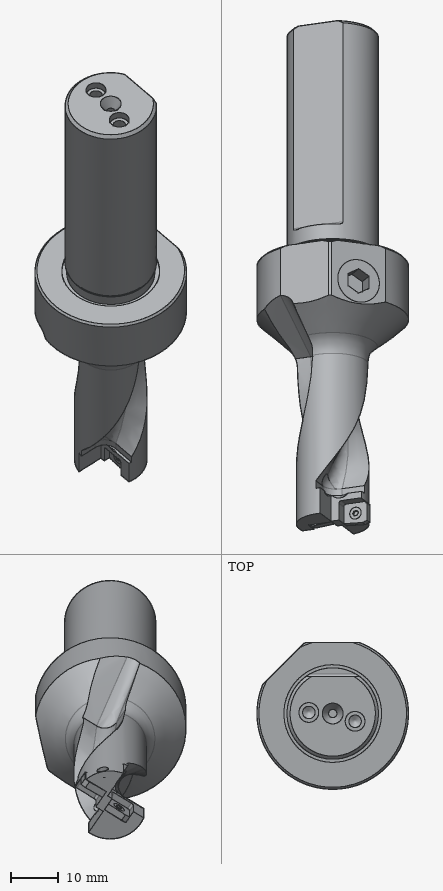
import cadquery as cq
import math

TOTAL_LENGTH = 108.8
SHANK_RADIUS = 9.6
SHANK_BOTTOM = 60.2
SHANK_CHAMFER = 0.7
SHANK_FLAT_OFFSET = 7.7
SHANK_FLAT_BOTTOM = 63.5
SHANK_FLAT_FILLET = 0.5
NECK_RADIUS = 9.2
NECK_GROOVE_RADIUS = 8.9
NECK_GROOVE_WIDTH = 0.7
NECK_RECESS_RADIUS = 10.2
NECK_RECESS_DEPTH = 0.5

COLLAR_RADIUS = 15.9
COLLAR_TOP = 57.9
COLLAR_BOTTOM = 45.6
COLLAR_CHAMFER = 0.4
BACK_FLAT_OFFSET = 14.9
PLUG_FLAT_OFFSET = 14.7
PLUG_FLAT_ANGLE = 45.0
CONE_SLOPE = 1.08
CONE_FILLET = 5.4

DRILL_RADIUS = 7.6
DRILL_BOTTOM = 0.3

FLUTE_BACK_TOP = 1.5
FLUTE_BACK_BOTTOM = -0.5
FLUTE_SIDE_TOP = 1.3
FLUTE_SIDE_BOTTOM = 0.8
FLUTE_CORNER_RADIUS = 3.0
FLUTE_REACH = 18.5
FLUTE_TOP = 37.5
FLUTE_TWIST_END = 7.6
FLUTE_TURN = 90.0
FLUTE_SECTIONS = 9
RUNOUT_HEIGHT = 13.0
RUNOUT_SLOPE = 1.5
RUNOUT_SIDE_SLOPE = 0.1
RUNOUT_TURN = 15.0

TIP_POCKET_TOP = 6.0
INNER_POCKET_SIDE = -1.5
INNER_POCKET_DEPTH = 1.4
OUTER_POCKET_SIDE = 0.4
OUTER_POCKET_DEPTH = 2.0

INSERT_WIDTH = 5.3
INSERT_TOP = 4.6
INSERT_THICKNESS = 1.5
INSERT_POINT = 4.2
INSERT_SIDE_RELIEF = 0.3
INSERT_CORNER_RADIUS = 0.5
INNER_INSERT_START = -0.4
INNER_INSERT_FACE = 0.0
OUTER_INSERT_START = 2.3
OUTER_INSERT_FACE = 0.5
SCREW_HEIGHT = 2.3
SCREW_HEAD_RADIUS = 1.3
SCREW_SHAFT_RADIUS = 0.8
SCREW_HEAD_LENGTH = 0.9
SCREW_LENGTH = 3.5
SCREW_SOCKET_WIDTH = 1.1
SCREW_SOCKET_DEPTH = 0.5

PLUG_RADIUS = 4.7
PLUG_LENGTH = 5.4
PLUG_HEIGHT = 49.5
PLUG_SOCKET_FLATS = 4.7
PLUG_SOCKET_DEPTH = 3.8

COOLANT_INLETS = [(-5.0, 0.2), (4.7, -1.6)]
INLET_RADIUS = 2.1
INLET_DEPTH = 1.6
COOLANT_RADIUS = 1.3
COOLANT_DEPTH = 6.5
COOLANT_POINT_LENGTH = 0.8
CENTRE_CONE_RADIUS = 2.2
CENTRE_PILOT_RADIUS = 0.9
CENTRE_CONE_DEPTH = 2.3
CENTRE_DEPTH = 4.4
SIDE_HOLE_RADIUS = 1.2
SIDE_HOLE_HEIGHT = 1.7
SIDE_HOLE_DEPTH = 1.4

ORIGIN = cq.Vector(0, 0, 0)
UP = cq.Vector(0, 0, 1)


def half_turn(shape):
    return shape.rotate((0, 0, 0), (0, 0, 1), 180)


def corner_block(x_start, x_end, y_start, y_end, z_start, z_end):
    """Box between two opposite corners."""
    block = cq.Workplane("XY").box(x_end - x_start, y_end - y_start, z_end - z_start, centered=False)
    return block.translate((x_start, y_start, z_start))


def hexagon_diameter(across_flats):
    return across_flats / math.cos(math.pi / 6)


def turned_blank():
    """Shank, neck, collar, cone and drill as one revolved outline."""
    cone_height = (COLLAR_RADIUS - DRILL_RADIUS) / CONE_SLOPE
    cone_bottom = COLLAR_BOTTOM - cone_height
    cone_angle = math.atan(CONE_SLOPE)
    tangent_length = CONE_FILLET * math.tan(cone_angle / 2)
    fillet_top = (
        DRILL_RADIUS + tangent_length * math.sin(cone_angle),
        cone_bottom + tangent_length * math.cos(cone_angle),
    )
    fillet_middle = (
        DRILL_RADIUS + CONE_FILLET * (1 - math.cos(cone_angle / 2)),
        cone_bottom - tangent_length + CONE_FILLET * math.sin(cone_angle / 2),
    )
    groove_bottom = SHANK_BOTTOM - NECK_GROOVE_WIDTH
    return (
        cq.Workplane("XZ")
        .moveTo(0, DRILL_BOTTOM)
        .lineTo(DRILL_RADIUS, DRILL_BOTTOM)
        .lineTo(DRILL_RADIUS, cone_bottom - tangent_length)
        .threePointArc(fillet_middle, fillet_top)
        .lineTo(COLLAR_RADIUS, COLLAR_BOTTOM)
        .lineTo(COLLAR_RADIUS, COLLAR_TOP - COLLAR_CHAMFER)
        .lineTo(COLLAR_RADIUS - COLLAR_CHAMFER, COLLAR_TOP)
        .lineTo(NECK_RECESS_RADIUS, COLLAR_TOP)
        .lineTo(NECK_RECESS_RADIUS, COLLAR_TOP - NECK_RECESS_DEPTH)
        .lineTo(NECK_RADIUS, COLLAR_TOP - NECK_RECESS_DEPTH)
        .lineTo(NECK_RADIUS, groove_bottom)
        .lineTo(NECK_GROOVE_RADIUS, groove_bottom)
        .lineTo(NECK_GROOVE_RADIUS, SHANK_BOTTOM)
        .lineTo(SHANK_RADIUS, SHANK_BOTTOM)
        .lineTo(SHANK_RADIUS, TOTAL_LENGTH - SHANK_CHAMFER)
        .lineTo(SHANK_RADIUS - SHANK_CHAMFER, TOTAL_LENGTH)
        .lineTo(0, TOTAL_LENGTH)
        .close()
        .revolve(360, (0, 0, 0), (0, 1, 0))
    )


def shank_flat():
    """Material removed for the clamping flat, with a rounded lower inside edge."""
    flat = corner_block(
        -SHANK_RADIUS, SHANK_RADIUS, SHANK_FLAT_OFFSET, 2 * SHANK_RADIUS, SHANK_FLAT_BOTTOM, TOTAL_LENGTH
    )
    return flat.edges("<Y and <Z").fillet(SHANK_FLAT_FILLET)


def collar_flat(offset, turn):
    """Material removed beyond a plane facing +Y, then turned about the axis."""
    flat = corner_block(
        -COLLAR_RADIUS, COLLAR_RADIUS, offset, 2 * COLLAR_RADIUS, FLUTE_TOP, COLLAR_TOP
    )
    return flat.rotate((0, 0, 0), (0, 0, 1), turn)


def flute_section(height, turn, back_offset, side_offset, shift_x=0.0, shift_y=0.0):
    """Rounded-corner quadrant open toward -X and -Y, turned clockwise about the axis."""
    back = -back_offset
    side = -side_offset
    far_x = side - FLUTE_REACH
    far_y = back - FLUTE_REACH
    arc_inset = FLUTE_CORNER_RADIUS * (1 - math.sqrt(0.5))
    wire = (
        cq.Workplane("XY")
        .moveTo(far_x, back)
        .lineTo(side - FLUTE_CORNER_RADIUS, back)
        .threePointArc((side - arc_inset, back - arc_inset), (side, back - FLUTE_CORNER_RADIUS))
        .lineTo(side, far_y)
        .lineTo(far_x, far_y)
        .close()
        .val()
    )
    return wire.rotate(ORIGIN, UP, -turn).translate(cq.Vector(shift_x, shift_y, height))


def flute_runout():
    """Upper end of a flute, slanting outward through the cone into the collar."""
    start = flute_section(FLUTE_TOP, 0, FLUTE_BACK_TOP, FLUTE_SIDE_TOP)
    end = flute_section(
        FLUTE_TOP + RUNOUT_HEIGHT,
        RUNOUT_TURN,
        FLUTE_BACK_TOP,
        FLUTE_SIDE_TOP,
        -RUNOUT_SIDE_SLOPE * RUNOUT_HEIGHT,
        -RUNOUT_SLOPE * RUNOUT_HEIGHT,
    )
    return cq.Workplane(cq.Solid.makeLoft([start, end], True))


def twisted_flute():
    """Main length of a flute, twisting faster and opening wider toward the tip."""
    sections = []
    for index in range(FLUTE_SECTIONS):
        fraction = index / (FLUTE_SECTIONS - 1)
        back_offset = FLUTE_BACK_TOP + fraction * (FLUTE_BACK_BOTTOM - FLUTE_BACK_TOP)
        side_offset = FLUTE_SIDE_TOP + fraction * (FLUTE_SIDE_BOTTOM - FLUTE_SIDE_TOP)
        height = FLUTE_TOP - fraction * (FLUTE_TOP - FLUTE_TWIST_END)
        sections.append(flute_section(height, FLUTE_TURN * fraction**2, back_offset, side_offset))
    return cq.Workplane(cq.Solid.makeLoft(sections))


def flute_lower_end():
    """Straight lower end of a flute, closed by a ball-shaped floor."""
    wire = flute_section(TIP_POCKET_TOP, FLUTE_TURN, FLUTE_BACK_BOTTOM, FLUTE_SIDE_BOTTOM)
    length = FLUTE_TWIST_END - TIP_POCKET_TOP
    straight = cq.Workplane(cq.Solid.extrudeLinear(wire, [], cq.Vector(0, 0, length)))
    ball_x = FLUTE_BACK_BOTTOM + FLUTE_CORNER_RADIUS
    ball_y = FLUTE_SIDE_BOTTOM + FLUTE_CORNER_RADIUS
    ball = cq.Workplane("XY").sphere(FLUTE_CORNER_RADIUS)
    return straight, ball.translate((-ball_x, ball_y, FLUTE_TWIST_END))


def tip_pocket(side, depth):
    """Open chip space in front of an insert that faces -Y."""
    reach = 2 * DRILL_RADIUS
    return corner_block(side, reach, -reach, -depth, 0, TIP_POCKET_TOP)


def insert_blank(start, front, back):
    """Insert outline with a shallow point, between the planes y = front and y = back."""
    end = start + INSERT_WIDTH
    outline = (
        cq.Workplane("XZ", origin=(0, back, 0))
        .moveTo(start, INSERT_SIDE_RELIEF)
        .lineTo(start + INSERT_POINT, 0)
        .lineTo(end, INSERT_SIDE_RELIEF)
        .lineTo(end, INSERT_TOP)
        .lineTo(start, INSERT_TOP)
        .close()
    )
    return outline.extrude(back - front).edges("|Y and >Z").fillet(INSERT_CORNER_RADIUS)


def screw_blank(start, face):
    """Countersunk screw without its socket, pointing toward +Y."""
    profile = (
        cq.Workplane("XY")
        .lineTo(SCREW_HEAD_RADIUS, 0)
        .lineTo(SCREW_SHAFT_RADIUS, SCREW_HEAD_LENGTH)
        .lineTo(SCREW_SHAFT_RADIUS, SCREW_LENGTH)
        .lineTo(0, SCREW_LENGTH)
        .close()
        .revolve(360, (0, 0, 0), (0, 1, 0))
    )
    return profile.translate((start + INSERT_WIDTH / 2, face, SCREW_HEIGHT))


def make_insert(start, face):
    return insert_blank(start, face, face + INSERT_THICKNESS).cut(screw_blank(start, face))


def make_screw(start, face):
    socket = (
        cq.Workplane("XZ", origin=(start + INSERT_WIDTH / 2, face, SCREW_HEIGHT))
        .polygon(6, hexagon_diameter(SCREW_SOCKET_WIDTH))
        .extrude(-SCREW_SOCKET_DEPTH)
    )
    return screw_blank(start, face).cut(socket)


def insert_seat(start, face, pocket_depth):
    """Insert pocket up through the chip pocket wall, with the threaded hole for the screw."""
    pocket = insert_blank(start, -pocket_depth, face + INSERT_THICKNESS)
    return pocket.union(screw_blank(start, face))


def plug_plane():
    """Plane of the angled collar flat, centred on the plug and facing outward."""
    angle = math.radians(PLUG_FLAT_ANGLE)
    normal = cq.Vector(-math.cos(angle), math.sin(angle), 0)
    centre = normal * PLUG_FLAT_OFFSET + UP * PLUG_HEIGHT
    return cq.Plane(origin=centre, xDir=UP, normal=normal)


def plug_blank():
    return cq.Workplane(plug_plane()).circle(PLUG_RADIUS).extrude(-PLUG_LENGTH)


def make_plug():
    socket = (
        cq.Workplane(plug_plane())
        .polygon(6, hexagon_diameter(PLUG_SOCKET_FLATS))
        .extrude(-PLUG_SOCKET_DEPTH)
    )
    return plug_blank().cut(socket)


def coolant_inlet(x, y):
    """Counterbored coolant hole with a conical floor."""
    profile = (
        cq.Workplane("XZ")
        .lineTo(INLET_RADIUS, 0)
        .lineTo(INLET_RADIUS, -INLET_DEPTH)
        .lineTo(COOLANT_RADIUS, -INLET_DEPTH)
        .lineTo(COOLANT_RADIUS, -COOLANT_DEPTH)
        .lineTo(0, -COOLANT_DEPTH - COOLANT_POINT_LENGTH)
        .close()
    )
    return profile.revolve(360, (0, 0, 0), (0, 1, 0)).translate((x, y, TOTAL_LENGTH))


def centre_hole():
    """Conical centre hole with a pilot bore."""
    profile = (
        cq.Workplane("XZ")
        .lineTo(CENTRE_CONE_RADIUS, 0)
        .lineTo(CENTRE_PILOT_RADIUS, -CENTRE_CONE_DEPTH)
        .lineTo(CENTRE_PILOT_RADIUS, -CENTRE_DEPTH)
        .lineTo(0, -CENTRE_DEPTH)
        .close()
    )
    return profile.revolve(360, (0, 0, 0), (0, 1, 0)).translate((0, 0, TOTAL_LENGTH))


def side_hole():
    """Blind radial hole near the tip, midway between -X and -Y."""
    outward = cq.Vector(-1, -1, 0).normalized()
    floor = outward * (DRILL_RADIUS - SIDE_HOLE_DEPTH) + UP * SIDE_HOLE_HEIGHT
    hole = cq.Solid.makeCylinder(SIDE_HOLE_RADIUS, 2 * SIDE_HOLE_DEPTH, floor, outward)
    return cq.Workplane(hole)


def make_drill_body():
    body = turned_blank().cut(shank_flat())
    body = body.cut(collar_flat(BACK_FLAT_OFFSET, 0))
    body = body.cut(collar_flat(PLUG_FLAT_OFFSET, PLUG_FLAT_ANGLE))
    body = body.cut(plug_blank())
    for cutter in [flute_runout(), twisted_flute(), *flute_lower_end()]:
        body = body.cut(cutter).cut(half_turn(cutter))
    body = body.cut(tip_pocket(INNER_POCKET_SIDE, INNER_POCKET_DEPTH))
    body = body.cut(half_turn(tip_pocket(OUTER_POCKET_SIDE, OUTER_POCKET_DEPTH)))
    body = body.cut(insert_seat(INNER_INSERT_START, INNER_INSERT_FACE, INNER_POCKET_DEPTH))
    outer_seat = insert_seat(OUTER_INSERT_START, OUTER_INSERT_FACE, OUTER_POCKET_DEPTH)
    body = body.cut(half_turn(outer_seat))
    for x, y in COOLANT_INLETS:
        body = body.cut(coolant_inlet(x, y))
    return body.cut(centre_hole()).cut(side_hole())


drill_body = make_drill_body()
plug = make_plug()

inserts = [
    make_insert(INNER_INSERT_START, INNER_INSERT_FACE),
    half_turn(make_insert(OUTER_INSERT_START, OUTER_INSERT_FACE)),
]
screws = [
    make_screw(INNER_INSERT_START, INNER_INSERT_FACE),
    half_turn(make_screw(OUTER_INSERT_START, OUTER_INSERT_FACE)),
]

result = cq.Compound.makeCompound(
    [drill_body.val(), plug.val()]
    + [insert.val() for insert in inserts]
    + [screw.val() for screw in screws]
)